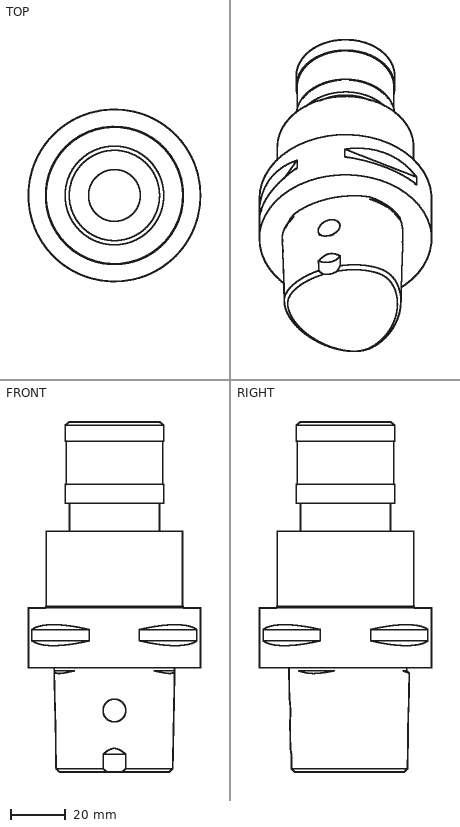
import cadquery as cq
import math

total_height = 128.0
shank_height = 38.1
flange_top = 60.0
body_top = 88.0
neck_top = 98.2
lower_collar_top = 105.1
upper_collar_bottom = 121.0

flange_radius = 31.5
body_radius = 25.0
body_foot_radius = 25.2
body_foot_height = 0.5
neck_radius = 16.5
collar_radius = 18.0
pilot_radius = 17.7
nose_chamfer_height = 1.3
nose_chamfer_width = 1.5
bore_radius = 9.5
bore_depth = 32.0

shank_radius = 22.0
lobe_rise = 1.35
straight_height = 3.1
taper_slope = 1 / 50
end_chamfer = 1.3
outline_points = 72
relief_radius = 22.4
relief_height = 1.2
relief_outer_radius = 24.3

groove_count = 4
groove_flat_distance = 27.8
groove_middle = 50.0
groove_flat_height = 4.1
groove_flare = 1.8

drill_radius = 4.16
drill_tip_angle = 118.0
drill_tip_height = drill_radius / math.tan(math.radians(drill_tip_angle / 2))
side_hole_height = 22.5
side_hole_depth = 9.0
keyway_height = 6.5
keyway_radius = 5.6
keyway_depth = 2.7


def make_turned_body():
    profile = [
        (0, shank_height),
        (flange_radius, shank_height),
        (flange_radius, flange_top),
        (body_foot_radius, flange_top),
        (body_foot_radius, flange_top + body_foot_height),
        (body_radius, flange_top + body_foot_height),
        (body_radius, body_top),
        (neck_radius, body_top),
        (neck_radius, neck_top),
        (collar_radius, neck_top),
        (collar_radius, lower_collar_top),
        (pilot_radius, lower_collar_top),
        (pilot_radius, upper_collar_bottom),
        (collar_radius, upper_collar_bottom),
        (collar_radius, total_height - nose_chamfer_height),
        (collar_radius - nose_chamfer_width, total_height),
        (0, total_height),
    ]
    return cq.Workplane("XZ").polyline(profile).close().revolve(360, (0, 0), (0, 1))


def lobed_point(radius, angle):
    """Point of the constant-width outline, with one lobe toward +Y."""
    phase = 3 * (angle - math.pi / 2)
    normal_distance = radius + lobe_rise * math.cos(phase)
    tangent_distance = -3 * lobe_rise * math.sin(phase)
    x = normal_distance * math.cos(angle) - tangent_distance * math.sin(angle)
    y = normal_distance * math.sin(angle) + tangent_distance * math.cos(angle)
    return x, y


def lobed_outline(radius, height):
    points = [lobed_point(radius, 2 * math.pi * i / outline_points) for i in range(outline_points)]
    return cq.Workplane("XY").workplane(offset=height).spline(points, periodic=True).close().val()


def lobed_section(bottom_radius, bottom, top_radius, top):
    outlines = [lobed_outline(bottom_radius, bottom), lobed_outline(top_radius, top)]
    return cq.Workplane(cq.Solid.makeLoft(outlines, True))


def make_shank():
    taper_top = shank_height - straight_height
    small_radius = shank_radius - taper_slope * (taper_top - end_chamfer)
    chamfer = lobed_section(small_radius - end_chamfer, 0, small_radius, end_chamfer)
    taper = lobed_section(small_radius, end_chamfer, shank_radius, taper_top)
    straight = lobed_section(shank_radius, taper_top, shank_radius, shank_height)
    return chamfer.union(taper).union(straight)


def make_lobe_relief():
    """Ring with a 45 degree lower edge that trims the lobes under the flange."""
    relief_bottom = shank_height - relief_height
    profile = [
        (relief_radius, shank_height),
        (relief_radius, relief_bottom),
        (relief_outer_radius, relief_bottom - (relief_outer_radius - relief_radius)),
        (relief_outer_radius, shank_height),
    ]
    return cq.Workplane("XZ").polyline(profile).close().revolve(360, (0, 0), (0, 1))


def make_groove(angle):
    """Flat-bottomed groove with flared walls, open across the flange rim."""
    half_flat = groove_flat_height / 2
    half_mouth = half_flat + groove_flare
    profile = [
        (groove_flat_distance, groove_middle - half_flat),
        (flange_radius, groove_middle - half_mouth),
        (flange_radius, groove_middle + half_mouth),
        (groove_flat_distance, groove_middle + half_flat),
    ]
    groove = cq.Workplane("XZ").polyline(profile).close().extrude(flange_radius, both=True)
    return groove.rotate((0, 0, 0), (0, 0, 1), angle)


def make_pointed_cylinder(radius, length, tip_height):
    """Cylinder along +Z that ends in a cone above the given length."""
    profile = [(0, 0), (radius, 0), (radius, length), (0, length + tip_height)]
    return cq.Workplane("XZ").polyline(profile).close().revolve(360, (0, 0), (0, 1))


def make_side_hole():
    length = flange_radius - shank_radius + side_hole_depth
    drill = make_pointed_cylinder(drill_radius, length, drill_tip_height)
    drill = drill.rotate((0, 0, 0), (1, 0, 0), -90)
    return drill.translate((0, -flange_radius, side_hole_height))


def make_keyway():
    """Shallow round-bottomed keyway with a 45 degree conical upper end."""
    axis_distance = shank_radius - lobe_rise - keyway_depth + keyway_radius
    cutter = make_pointed_cylinder(keyway_radius, keyway_height, keyway_radius)
    return cutter.translate((0, -axis_distance, 0))


def make_bore():
    bore = cq.Workplane("XY").workplane(offset=total_height - bore_depth)
    return bore.circle(bore_radius).extrude(bore_depth)


shank = make_shank().cut(make_lobe_relief()).cut(make_side_hole()).cut(make_keyway())
result = make_turned_body().union(shank).cut(make_bore())
for index in range(groove_count):
    result = result.cut(make_groove(45 + index * 360 / groove_count))